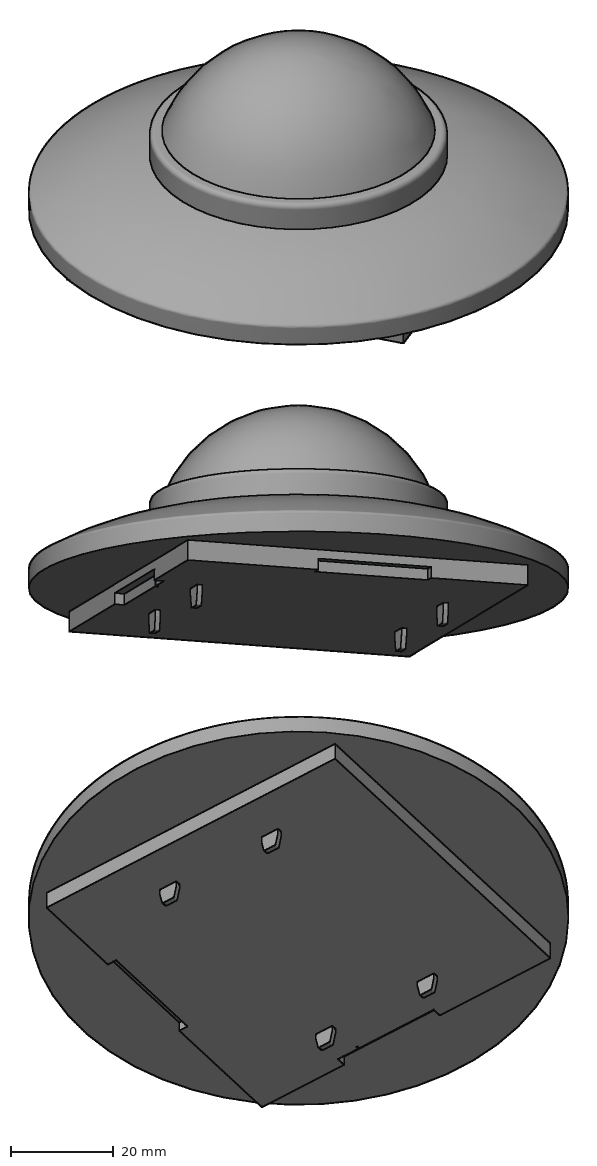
import cadquery as cq
import math

cover_radius = 52.5
rim_height = 4.1
rim_fillet = 0.8
collar_radius = 29.0
collar_base_height = 12.3
collar_top_height = 17.7
collar_fillet = 1.0
shoulder_arc_radius = 65.1
dome_base_radius = 26.6
dome_top_height = 35.8
match_tolerance = 0.01

base_side = 70.0
base_thickness = 4.0

recess_width = 23.2
recess_height = 2.2
recess_depth = 2.0
recess_offset = 3.5
groove_width = 0.3
groove_depth = 0.5
groove_position_y = -10.1

pin_thickness = 1.0
pin_width = 4.0
pin_tip_width = 2.8
pin_length = 4.0
pin_straight_length = 1.3
pin_tip_fillet = 0.3
pin_spacing_x = 50.7
pin_spacing_y = 24.7


def shoulder_midpoint():
    """Middle point of the arc that rises from the rim to the foot of the collar."""
    run = cover_radius - collar_radius
    rise = collar_base_height - rim_height
    chord = math.hypot(run, rise)
    bulge = shoulder_arc_radius - math.sqrt(shoulder_arc_radius**2 - (chord / 2) ** 2)
    mid_radius = (cover_radius + collar_radius) / 2 + bulge * rise / chord
    mid_height = (rim_height + collar_base_height) / 2 + bulge * run / chord
    return mid_radius, mid_height


def dome_midpoint():
    """Middle point of the dome arc, whose centre lies on the Z axis."""
    dome_rise = dome_top_height - collar_top_height
    sphere_radius = (dome_base_radius**2 + dome_rise**2) / (2 * dome_rise)
    half_angle = math.atan2(dome_rise, dome_base_radius)
    mid_radius = sphere_radius * math.sin(half_angle)
    mid_height = dome_top_height - sphere_radius * (1 - math.cos(half_angle))
    return mid_radius, mid_height


def round_edge(body, edge_radius, edge_height, fillet_radius):
    """Fillet the circular edge about the Z axis with the given radius and height."""

    def is_wanted(edge):
        same_radius = math.isclose(edge.radius(), edge_radius, abs_tol=match_tolerance)
        same_height = math.isclose(edge.Center().z, edge_height, abs_tol=match_tolerance)
        return same_radius and same_height

    return body.edges("%CIRCLE").filter(is_wanted).fillet(fillet_radius)


def make_cover():
    """Revolved cover with its underside at Z = 0."""
    profile = (
        cq.Workplane("XZ")
        .lineTo(cover_radius, 0)
        .lineTo(cover_radius, rim_height)
        .threePointArc(shoulder_midpoint(), (collar_radius, collar_base_height))
        .lineTo(collar_radius, collar_top_height)
        .lineTo(dome_base_radius, collar_top_height)
        .threePointArc(dome_midpoint(), (0, dome_top_height))
        .close()
    )
    cover = profile.revolve(360, (0, 0, 0), (0, 1, 0))
    cover = round_edge(cover, cover_radius, rim_height, rim_fillet)
    return round_edge(cover, collar_radius, collar_top_height, collar_fillet)


def make_base():
    """Square plate with a recess in its -Y and -X faces and a thin groove in the -X recess."""
    half_side = base_side / 2
    base = cq.Workplane("XY").box(base_side, base_side, base_thickness, centered=(True, True, False))
    base = base.translate((0, 0, -base_thickness))
    recess = (
        cq.Workplane("XY")
        .box(recess_width, recess_depth, recess_height, centered=(True, False, False))
        .translate((recess_offset, -half_side, -base_thickness))
    )
    quarter_turn = -90
    recess_on_minus_x = recess.rotate((0, 0, 0), (0, 0, 1), quarter_turn)
    groove = (
        cq.Workplane("XY")
        .box(groove_depth, groove_width, recess_height, centered=(False, True, False))
        .translate((recess_depth - half_side, groove_position_y, -base_thickness))
    )
    return base.cut(recess).cut(recess_on_minus_x).cut(groove)


def make_pin(center_x, center_y):
    """Flat pin below the base, tapered in width towards a rounded tip."""
    pin = (
        cq.Workplane("YZ")
        .moveTo(-pin_width / 2, 0)
        .lineTo(-pin_width / 2, -pin_straight_length)
        .lineTo(-pin_tip_width / 2, -pin_length)
        .lineTo(pin_tip_width / 2, -pin_length)
        .lineTo(pin_width / 2, -pin_straight_length)
        .lineTo(pin_width / 2, 0)
        .close()
        .extrude(pin_thickness / 2, both=True)
    )
    pin = pin.faces("<Z").edges("|X").fillet(pin_tip_fillet)
    return pin.translate((center_x, center_y, -base_thickness))


cover = make_cover()
base = make_base()
pins = [
    make_pin(side_x * pin_spacing_x / 2, side_y * pin_spacing_y / 2)
    for side_x in (-1, 1)
    for side_y in (-1, 1)
]

result = cq.Compound.makeCompound([cover.val(), base.val(), *[pin.val() for pin in pins]])